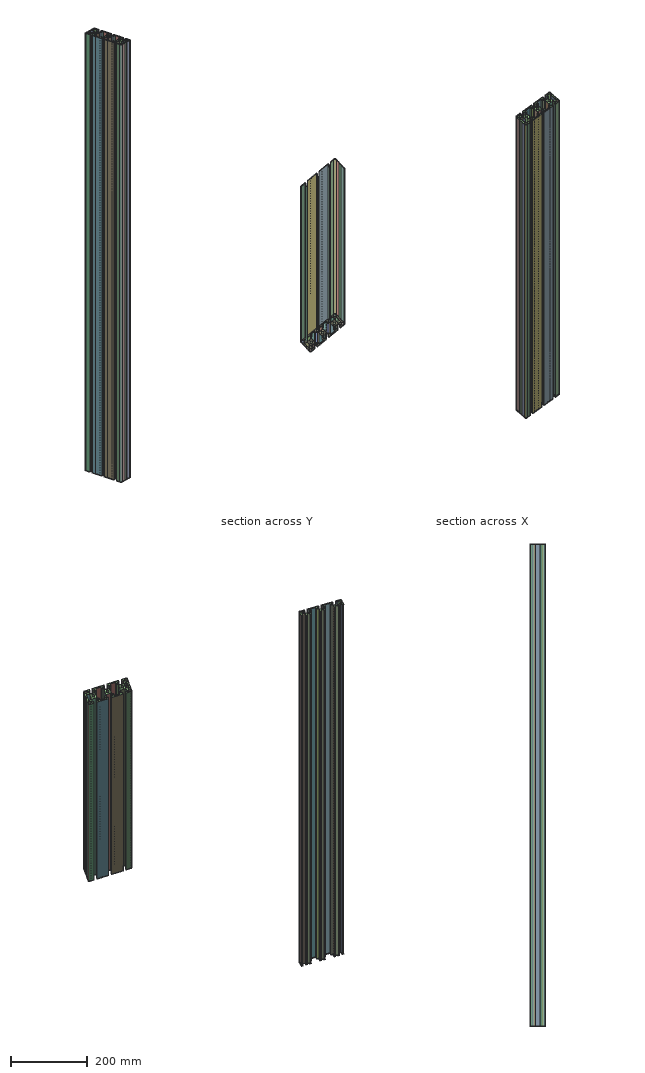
import cadquery as cq

pitch = 40.0
cell_count = 3
length = 1260.0
width = pitch * cell_count
depth = pitch
corner_radius = 2.0

slot_width = 8.0
slot_floor = 12.5
lip_thickness = 4.5
undercut_width = 18.0
undercut_straight = 2.0
floor_width = 11.0
cover_step = 0.2

core_half = pitch / 2 - slot_floor
core_bore = 6.8

cavity_wall = 3.0
neck_width = 14.5
neck_end = 11.0
belly_half_height = 9.0

hollow_wall = 1.5
hollow_size = 6.5
hollow_radius = 1.9

first_cell = -(cell_count - 1) / 2 * pitch
cell_centres = [first_cell + i * pitch for i in range(cell_count)]
gap_centres = [x + pitch / 2 for x in cell_centres[:-1]]


def extruded_outline(points):
    """Full-length prism over a closed outline in the XY plane."""
    return cq.Workplane("XY").polyline(points).close().extrude(length)


def face_channel(channel_depth):
    """Slot-wide channel cut from the +Y face of a cell at the origin."""
    centre_y = pitch / 2 - channel_depth / 2
    return cq.Workplane("XY").center(0, centre_y).rect(slot_width, channel_depth).extrude(length)


def undercut():
    """Tapered undercut behind the +Y face of a cell at the origin."""
    lip = pitch / 2 - lip_thickness
    shoulder = lip - undercut_straight
    wing = undercut_width / 2
    floor = floor_width / 2
    return extruded_outline([
        (-wing, lip),
        (wing, lip),
        (wing, shoulder),
        (floor, core_half),
        (-floor, core_half),
        (-wing, shoulder),
    ])


def open_slot():
    """T-slot whose mouth passes through the face."""
    return undercut().union(face_channel(slot_floor))


def covered_slot():
    """T-slot closed by a cover that sits slightly behind the face."""
    return undercut().union(face_channel(cover_step))


def placed(slot, x, angle):
    """Turn a +Y slot about the cell axis and move it to the cell at x."""
    return slot.rotate((0, 0, 0), (0, 0, 1), angle).translate((x, 0, 0))


def middle_cavity(x):
    """Cavity between two neighbouring cells, with slanted shoulders."""
    neck = neck_width / 2
    belly = pitch / 2 - core_half
    quarter = [
        (neck, depth / 2 - cavity_wall),
        (neck, neck_end),
        (belly, belly_half_height),
    ]
    right = quarter + [(px, -py) for px, py in reversed(quarter)]
    left = [(-px, -py) for px, py in right]
    return extruded_outline(right + left).translate((x, 0, 0))


def corner_hollows():
    """Rounded square hollows in the four corners of the profile."""
    inset = hollow_wall + hollow_size / 2
    centres = cq.Workplane("XY").rect(width - 2 * inset, depth - 2 * inset, forConstruction=True)
    hollows = centres.vertices().rect(hollow_size, hollow_size).extrude(length)
    return hollows.edges("|Z").fillet(hollow_radius)


def core_bores():
    """Round bore along the axis of every cell."""
    axes = [(x, 0) for x in cell_centres]
    return cq.Workplane("XY").pushPoints(axes).circle(core_bore / 2).extrude(length)


profile = cq.Workplane("XY").rect(width, depth).extrude(length)
profile = profile.edges("|Z").fillet(corner_radius)

for x in cell_centres:
    for angle in (0, 180):
        profile = profile.cut(placed(open_slot(), x, angle))

for x, angle in ((cell_centres[0], 90), (cell_centres[-1], -90)):
    profile = profile.cut(placed(covered_slot(), x, angle))

for x in gap_centres:
    profile = profile.cut(middle_cavity(x))

result = profile.cut(corner_hollows()).cut(core_bores())